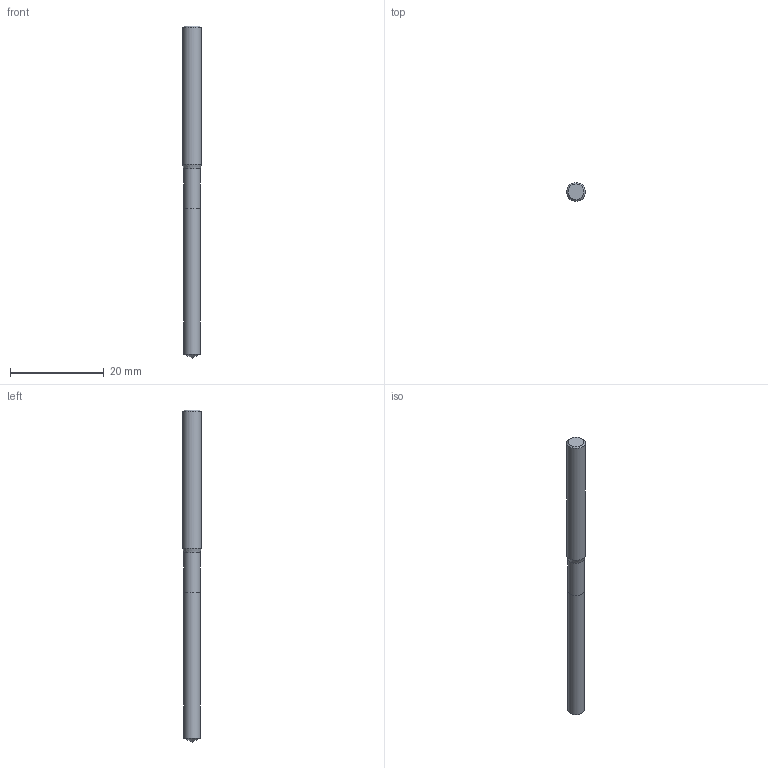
import cadquery as cq
import math


cutter_radius = 3.5 / 2
cutter_top = 32.0
point_angle = 130.0
point_height = cutter_radius / math.tan(math.radians(point_angle / 2))

overall_length = 71.0
shank_radius = 4.0 / 2
shank_bottom = 41.4
shank_chamfer = 0.3
neck_radius = cutter_radius
taper_half_angle = 15.0
taper_height = (shank_radius - neck_radius) / math.tan(math.radians(taper_half_angle))
neck_top = shank_bottom - taper_height


def revolve_about_z(profile_points):
    """Turn a closed (radius, height) outline a full circle around the Z axis."""
    return cq.Workplane("XZ").polyline(profile_points).close().revolve(360, (0, 0), (0, 1))


def make_cutter():
    """Plain cylinder with a conical point, butted against the end of the neck."""
    return revolve_about_z([
        (0, 0),
        (cutter_radius, point_height),
        (cutter_radius, cutter_top),
        (0, cutter_top),
    ])


def make_shank():
    """Cylinder chamfered at the top that tapers down to a thinner neck."""
    return revolve_about_z([
        (0, cutter_top),
        (neck_radius, cutter_top),
        (neck_radius, neck_top),
        (shank_radius, shank_bottom),
        (shank_radius, overall_length - shank_chamfer),
        (shank_radius - shank_chamfer, overall_length),
        (0, overall_length),
    ])


cutter = make_cutter()
shank = make_shank()

result = cq.Compound.makeCompound([cutter.val(), shank.val()])